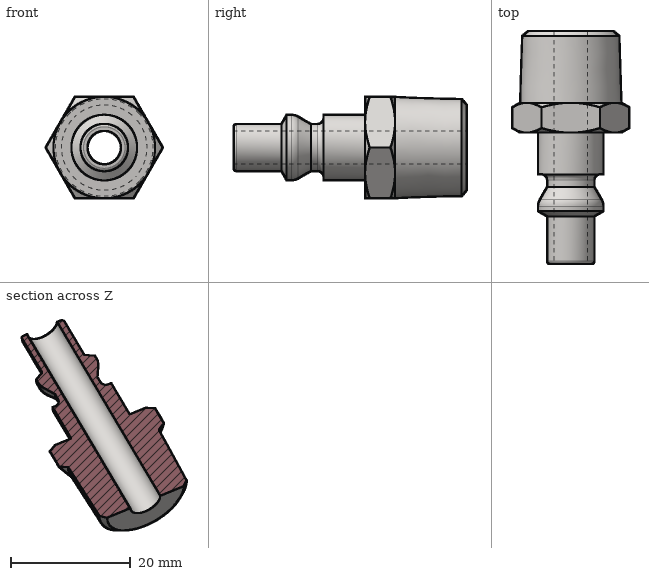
import cadquery as cq
import math

length = 39.0
bore_radius = 2.75

nose_radius = 3.98
body_radius = 5.5
tip_round = 0.5
nose_end = 8.0
collar_start = 8.85
collar_round_start = 9.67
collar_round = 2.25
collar_angle = math.radians(30)
neck_round_start = 14.05
shoulder = 15.0

hex_start = 22.0
hex_width = 17.0
hex_length = 5.0
hex_chamfer_angle = math.radians(30)

thread_start = hex_start + hex_length
thread_base_radius = 8.5
thread_chamfer_length = 0.85
thread_chamfer_depth = 1.0
radius_taper = 1 / 32


def arc_point(center, radius, angle):
    """Point at an angle from the radial direction toward +Y."""
    radial, axial = center
    return radial + radius * math.cos(angle), axial + radius * math.sin(angle)


def make_plug():
    """Revolved nose, locking collar, neck and cylindrical body."""
    collar_center = (body_radius - collar_round, collar_round_start)
    collar_mid = arc_point(collar_center, collar_round, collar_angle / 2)
    collar_end = arc_point(collar_center, collar_round, collar_angle)
    cone_length = (collar_end[0] - nose_radius) / math.tan(collar_angle)

    neck_round = shoulder - neck_round_start
    neck_center = (nose_radius + neck_round, neck_round_start)
    neck_mid = arc_point(neck_center, neck_round, 3 * math.pi / 4)
    neck_end = arc_point(neck_center, neck_round, math.pi / 2)

    tip_center = (nose_radius - tip_round, tip_round)
    tip_mid = arc_point(tip_center, tip_round, -math.pi / 4)

    profile = (
        cq.Workplane("XY")
        .moveTo(0, 0)
        .lineTo(nose_radius - tip_round, 0)
        .threePointArc(tip_mid, (nose_radius, tip_round))
        .lineTo(nose_radius, nose_end)
        .lineTo(body_radius, collar_start)
        .lineTo(body_radius, collar_round_start)
        .threePointArc(collar_mid, collar_end)
        .lineTo(nose_radius, collar_end[1] + cone_length)
        .lineTo(nose_radius, neck_round_start)
        .threePointArc(neck_mid, neck_end)
        .lineTo(body_radius, shoulder)
        .lineTo(body_radius, hex_start)
        .lineTo(0, hex_start)
        .close()
    )
    return profile.revolve(360, (0, 0, 0), (0, 1, 0))


def make_hexagon():
    """Hexagon with corners on +X and -X, chamfered conically at both ends."""
    flat_radius = hex_width / 2
    corner_radius = flat_radius / math.cos(math.pi / 6)
    chamfer_length = (corner_radius - flat_radius) * math.tan(hex_chamfer_angle)
    prism = (
        cq.Workplane("XZ", origin=(0, hex_start, 0))
        .polygon(6, 2 * corner_radius)
        .extrude(-hex_length)
    )
    envelope = (
        cq.Workplane("XY")
        .moveTo(0, hex_start)
        .lineTo(flat_radius, hex_start)
        .lineTo(corner_radius, hex_start + chamfer_length)
        .lineTo(corner_radius, thread_start - chamfer_length)
        .lineTo(flat_radius, thread_start)
        .lineTo(0, thread_start)
        .close()
        .revolve(360, (0, 0, 0), (0, 1, 0))
    )
    return prism.intersect(envelope)


def make_thread():
    """Thread blank narrowing toward its chamfered +Y end."""
    chamfer_start = length - thread_chamfer_length
    small_radius = thread_base_radius - radius_taper * (chamfer_start - thread_start)
    profile = (
        cq.Workplane("XY")
        .moveTo(0, thread_start)
        .lineTo(thread_base_radius, thread_start)
        .lineTo(small_radius, chamfer_start)
        .lineTo(small_radius - thread_chamfer_depth, length)
        .lineTo(0, length)
        .close()
    )
    return profile.revolve(360, (0, 0, 0), (0, 1, 0))


bore = cq.Workplane("XZ").circle(bore_radius).extrude(-length)

result = make_plug().union(make_hexagon()).union(make_thread()).cut(bore)